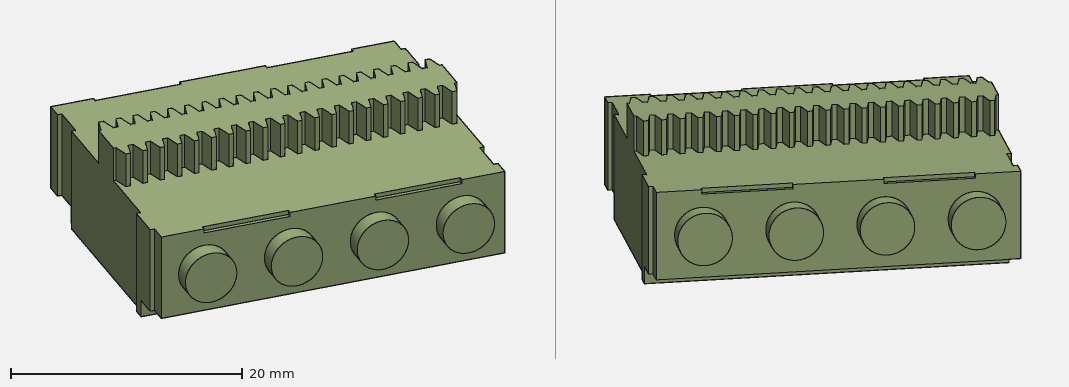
import cadquery as cq
import math

stud_pitch = 8.0
stud_count = 4
stud_diameter = 4.8
module = stud_pitch / 5

body_width = 16 * module
body_length = stud_count * stud_pitch
body_height = stud_pitch
base_width = 18.25
base_height = module
stud_length = module

tab_width = 2 * module
tab_inset = module
tab_depth = 0.4

edge_notch_size = 0.4
edge_notch_length = stud_pitch

rack_height = 2 * module
rack_width = 6.25
rack_root_width = 3.5
tooth_pitch = module
tooth_count = round(body_length / tooth_pitch)
tooth_tip_width = 0.43
tooth_flank_angle = 14.5

body_top = base_height + body_height
body_middle = base_height + body_height / 2


def standing_box(width, length, height):
    """Box centred in X and Y, standing on the underside plane."""
    return cq.Workplane("XY").box(width, length, height, centered=(True, True, False))


def make_body():
    base = standing_box(base_width, body_length, base_height)
    block = standing_box(body_width, body_length, body_height).translate((0, 0, base_height))
    return base.union(block)


def make_rack():
    """Straight-flanked teeth on both sides, with half a tooth gap at each end."""
    tooth_depth = (rack_width - rack_root_width) / 2
    flank_run = tooth_depth * math.tan(math.radians(tooth_flank_angle))
    tip_half = tooth_tip_width / 2
    root_half = tip_half + flank_run
    tip_x = rack_width / 2
    root_x = rack_root_width / 2

    right_edge = [(root_x, -body_length / 2)]
    for i in range(tooth_count):
        tooth_y = (i + 0.5) * tooth_pitch - body_length / 2
        right_edge += [
            (root_x, tooth_y - root_half),
            (tip_x, tooth_y - tip_half),
            (tip_x, tooth_y + tip_half),
            (root_x, tooth_y + root_half),
        ]
    right_edge.append((root_x, body_length / 2))
    left_edge = [(-x, y) for x, y in reversed(right_edge)]
    return (
        cq.Workplane("XY")
        .workplane(offset=body_top)
        .polyline(right_edge + left_edge)
        .close()
        .extrude(rack_height)
    )


def make_studs():
    stud_places = [((i - (stud_count - 1) / 2) * stud_pitch, body_middle) for i in range(stud_count)]
    half_span = body_width / 2 + stud_length
    return (
        cq.Workplane("YZ")
        .workplane(offset=-half_span)
        .pushPoints(stud_places)
        .circle(stud_diameter / 2)
        .extrude(2 * half_span)
    )


def make_step_clearance():
    """Space beside the narrow base, under the wide block."""
    clearance_length = body_length + 4 * tab_depth
    space = standing_box(body_width, clearance_length, base_height)
    core = standing_box(base_width, clearance_length, base_height)
    return space.cut(core)


def add_end_joints(body):
    """One tab and one notch per end, placed so that identical parts lock end to end."""
    joint_x = body_width / 2 - tab_inset - tab_width / 2
    end_y = body_length / 2
    joint = standing_box(tab_width, 2 * tab_depth, body_top)
    below_step = make_step_clearance()
    for side in (-1, 1):
        tab = joint.translate((side * joint_x, -side * end_y, 0)).cut(below_step)
        notch = joint.translate((side * joint_x, side * end_y, 0))
        body = body.union(tab).cut(notch)
    return body


def cut_edge_notches(body):
    notch_places = [(x, y) for x in (-body_width / 2, body_width / 2) for y in (-stud_pitch, stud_pitch)]
    notches = (
        cq.Workplane("XY")
        .workplane(offset=body_top)
        .pushPoints(notch_places)
        .rect(2 * edge_notch_size, edge_notch_length)
        .extrude(-edge_notch_size)
    )
    return body.cut(notches)


body = add_end_joints(make_body())
body = cut_edge_notches(body)
result = body.union(make_studs()).union(make_rack())